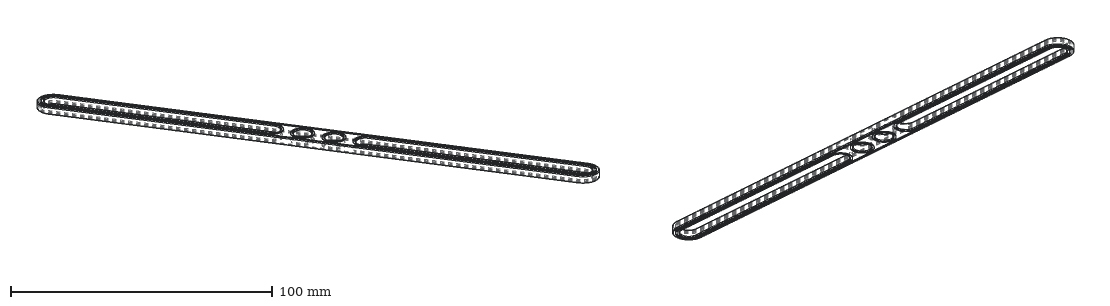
import cadquery as cq

length = 225.0
width = 12.5
thickness = 3.2

opening_width = 7.0
hole_pitch = width
slot_inner_end = 15.3
slot_outer_center = (length - width) / 2
slot_inner_center = slot_inner_end + opening_width / 2
slot_x = (slot_inner_center + slot_outer_center) / 2
slot_center_length = slot_outer_center - slot_inner_center

rim_width = 1.1
recess_depth = 0.2
edge_chamfer = 0.34


def opening_bodies(across, height):
    """Bodies on the hole and slot positions, each `across` wide, centred on Z = 0."""
    hole_points = [(-hole_pitch / 2, 0), (hole_pitch / 2, 0)]
    slot_points = [(-slot_x, 0), (slot_x, 0)]
    holes = cq.Workplane("XY").pushPoints(hole_points).circle(across / 2)
    slots = cq.Workplane("XY").pushPoints(slot_points).slot2D(slot_center_length + across, across)
    return holes.extrude(height / 2, both=True).union(slots.extrude(height / 2, both=True))


def recess_body():
    """Sunken floor areas of both faces: inside the outline rim, around the opening rims."""
    inner_length = length - 2 * rim_width
    inner_width = width - 2 * rim_width
    floor = cq.Workplane("XY").slot2D(inner_length, inner_width).extrude(thickness / 2, both=True)
    opening_rims = opening_bodies(opening_width + 2 * rim_width, thickness)
    core = cq.Workplane("XY").box(length, width, thickness - 2 * recess_depth)
    return floor.cut(opening_rims).cut(core)


bar = cq.Workplane("XY").slot2D(length, width).extrude(thickness / 2, both=True)
pierced_bar = bar.cut(opening_bodies(opening_width, thickness))
chamfered_bar = pierced_bar.faces("|Z").edges().chamfer(edge_chamfer)

result = chamfered_bar.cut(recess_body())